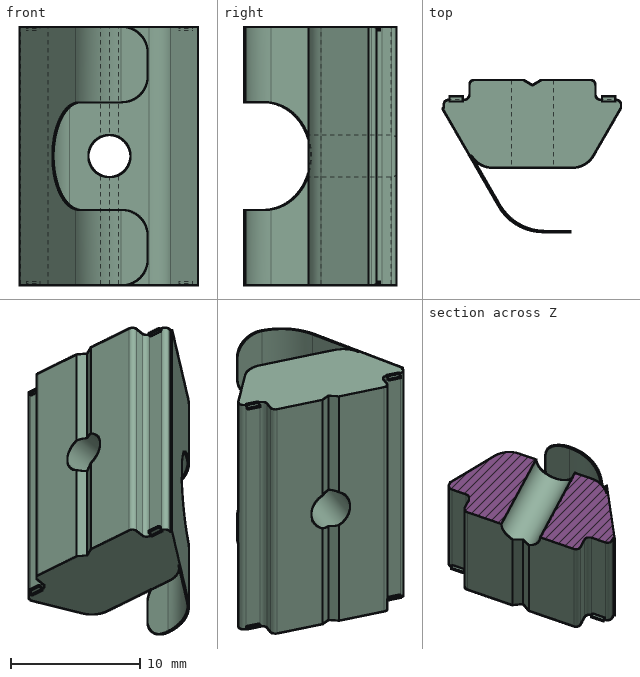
import cadquery as cq
import math

length = 20.0
total_width = 13.85
total_depth = 11.8

block_depth = 6.82
neck_half_width = 4.88
shoulder_depth = 1.55
flank_start = 2.15
flank_angle = math.radians(60)
small_radius = 0.4
front_radius = 1.92
groove_half_width = 0.7
groove_depth = 0.42
hole_diameter = 3.25

pad_center_x = 5.9
pad_width = 1.05
pad_back_depth = 1.25
pad_front_depth = 1.68
pad_thickness = 0.15
pad_inset = 0.15

sheet = 0.12
bend_radius = 4.08
tip_x = 2.95
tip_radius = 2.0
notch_height = 8.32
notch_length = 16.0
notch_top_depth = 6.65

flank_cos = math.cos(flank_angle)
flank_sin = math.sin(flank_angle)
flank_slope = math.tan(flank_angle)
half_width = (total_width - sheet * flank_sin) / 2


def make_block():
    """Extruded T-nut section with rounded corners, back groove and cross hole."""
    front_half_width = half_width - (block_depth - flank_start) / flank_slope
    right_side = [
        (groove_half_width, 0),
        (neck_half_width, 0),
        (neck_half_width, -shoulder_depth),
        (half_width, -shoulder_depth),
        (half_width, -flank_start),
        (front_half_width, -block_depth),
    ]
    left_side = [(-x, y) for x, y in reversed(right_side)]
    block = (
        cq.Workplane("XY")
        .polyline([(0, -groove_depth)] + right_side + left_side)
        .close()
        .extrude(length)
    )

    def edges_at(x, y):
        reach = 0.02
        corners = cq.selectors.BoxSelector(
            (x - reach, y - reach, 0), (x + reach, y + reach, length)
        )
        return block.edges("|Z").edges(corners)

    for side in (-1, 1):
        for x, y in right_side[1:4]:
            block = edges_at(side * x, y).fillet(small_radius)
        block = edges_at(side * front_half_width, -block_depth).fillet(front_radius)

    hole = (
        cq.Workplane("XZ")
        .center(0, length / 2)
        .circle(hole_diameter / 2)
        .extrude(block_depth)
    )
    return block.cut(hole)


def make_spring():
    """Thin strip along the flank, bent to run parallel to the block's front face."""
    top_x = -half_width - sheet * flank_sin
    top_depth = flank_start + sheet * flank_cos
    bend_start_depth = total_depth - bend_radius * (1 - flank_cos)
    bend_start_x = (bend_start_depth - top_depth) / flank_slope + top_x
    bend_center_x = bend_start_x + bend_radius * flank_sin
    bend_center_y = bend_radius - total_depth

    def on_bend(radius, angle):
        return (
            bend_center_x - radius * math.sin(angle),
            bend_center_y - radius * math.cos(angle),
        )

    inner_radius = bend_radius - sheet
    strip = (
        cq.Workplane("XY")
        .moveTo(-half_width, -flank_start)
        .lineTo(top_x, -top_depth)
        .lineTo(*on_bend(bend_radius, flank_angle))
        .threePointArc(on_bend(bend_radius, flank_angle / 2), on_bend(bend_radius, 0))
        .lineTo(tip_x, -total_depth)
        .lineTo(tip_x, sheet - total_depth)
        .lineTo(*on_bend(inner_radius, 0))
        .threePointArc(on_bend(inner_radius, flank_angle / 2), on_bend(inner_radius, flank_angle))
        .close()
        .extrude(length)
    )

    notch_top_x = (notch_top_depth - top_depth) / flank_slope + top_x
    notch_plane = cq.Plane(
        origin=(notch_top_x, -notch_top_depth, length / 2),
        xDir=(flank_cos, -flank_sin, 0),
        normal=(-flank_sin, -flank_cos, 0),
    )
    notch_radius = notch_height / 2
    notch = (
        cq.Workplane(notch_plane)
        .moveTo(notch_length, -notch_radius)
        .lineTo(notch_radius, -notch_radius)
        .threePointArc((0, 0), (notch_radius, notch_radius))
        .lineTo(notch_length, notch_radius)
        .close()
        .extrude(total_depth, both=True)
    )
    return strip.cut(notch).edges("|Y and >X").fillet(tip_radius)


def pad_boxes(start_z, thickness):
    """Two boxes with the pad outline, one on each shoulder."""
    pad_y = -(pad_back_depth + pad_front_depth) / 2
    return (
        cq.Workplane("XY", origin=(0, 0, start_z))
        .pushPoints([(-pad_center_x, pad_y), (pad_center_x, pad_y)])
        .rect(pad_width, pad_front_depth - pad_back_depth)
        .extrude(thickness)
    )


def add_pads(block):
    """Recess both end faces and leave a thin pad behind each recess."""
    for recess_z in (0, length - pad_inset):
        block = block.cut(pad_boxes(recess_z, pad_inset))
    for pad_z in (pad_inset, length - pad_inset - pad_thickness):
        block = block.union(pad_boxes(pad_z, pad_thickness))
    return block


result = add_pads(make_block()).union(make_spring())